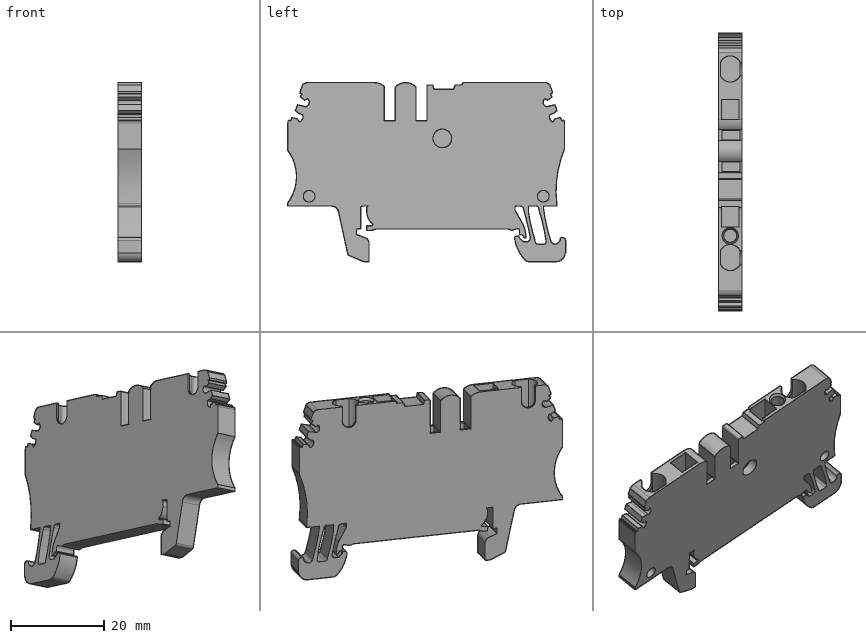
import cadquery as cq

THICKNESS = 5.1
HALF_LENGTH = 29.6
TOP_Z = 38.35
SHOULDER_Z = 11.9
SEAT_Z = 7.0
FOOT_END_Y = HALF_LENGTH - 59.5

SLOT_FLOOR_Z = 30.2
SLOT_WIDTH = 2.3
TONGUE_WIDTH = 4.45
TONGUE_Y = 4.4
TONGUE_RISE = 1.0
LEDGE_Z = 37.8
LEDGE_END_Y = -7.7
RECESS_Z = 36.95
SLOT_POCKET_WIDTH = 3.8
SLOT_POCKET_SHIFT = 0.2
SLOT_POCKET_DEPTH = 3.0
SLOT_POCKET_INSET = 0.1

FUNNEL_YS = (21.95, -18.4)
FUNNEL_LENGTH = 5.6
FUNNEL_WIDTH = 4.15
FUNNEL_SIDE_FLAT = 3.0
FUNNEL_END_FLAT = 0.4
FUNNEL_BULGE = (1.3, 2.4)
FUNNEL_DEPTH = 8.9
WINDOW_WIDTH = 3.1
WINDOW_CENTRE_DEPTH = 3.3
DRIVER_YS = (13.25, -9.65)
DRIVER_LENGTH = 4.35
DRIVER_WIDTH = 3.75
DRIVER_DEPTH = 8.9
TEST_HOLE_Y = -13.75
TEST_HOLE_DIAMETER = 2.8
TEST_HOLE_MOUTH = 3.45
TEST_HOLE_MOUTH_DEPTH = 0.6

SOCKET_DEPTH = 2.0
PEG_SOCKET_DIAMETER = 2.5
PEG_SOCKETS = ((25.05, 14.05), (-25.05, 14.05))
CENTRE_SOCKET_DIAMETER = 4.0
CENTRE_SOCKET = (-3.45, 26.4)


def plate(start, *steps):
    """Full-thickness plate from an outline of (y, z) points; a pair of points is an arc via the first."""
    path = cq.Workplane("YZ", origin=(-THICKNESS / 2, 0, 0)).moveTo(*start)
    for step in steps:
        if isinstance(step[0], tuple):
            path = path.threePointArc(*step)
        else:
            path = path.lineTo(*step)
    return path.close().extrude(THICKNESS)


def block(y_low, y_high, z_low, z_high, x_width=THICKNESS, x_centre=0.0):
    size = (x_width, y_high - y_low, z_high - z_low)
    centre = (x_centre, (y_low + y_high) / 2, (z_low + z_high) / 2)
    return cq.Workplane("XY").box(*size).translate(centre)


def marker_end_cut():
    """Waste outside the +Y upper corner: two marker grooves with a lip between them."""
    return plate(
        (HALF_LENGTH, TOP_Z),
        (25.5, TOP_Z),
        ((26.05, 38.2), (26.45, 37.8)),
        (27.0, 36.4),
        (26.95, 36.0),
        (26.6, 35.9),
        (26.95, 35.3),
        (26.0, 34.55),
        (25.4, 34.85),
        ((25.05, 34.1), (25.8, 33.2)),
        (26.4, 33.35),
        (27.55, 33.6),
        (28.0, 32.35),
        ((27.7, 32.1), (27.3, 31.75)),
        (26.45, 31.45),
        ((26.45, 30.6), (27.1, 29.9)),
        (27.6, 30.65),
        (28.7, 30.85),
        (29.0, 30.15),
        (29.4, 30.35),
        (29.55, 30.15),
        (HALF_LENGTH, 29.75),
    )


def grip_cuts():
    """Concave finger grip on the +Y end and the shallower one on the -Y end."""
    deep = plate((HALF_LENGTH, 23.85), ((27.8, 18.3), (HALF_LENGTH, 12.6)))
    shallow = plate(
        (-HALF_LENGTH, 24.15),
        ((-28.15, 19.05), (-27.95, 12.45)),
        (-28.0, SHOULDER_Z),
        (-HALF_LENGTH, SHOULDER_Z),
    )
    return deep.union(shallow)


def top_cuts():
    """Two slots beside the round-topped tongue, a rounded shoulder and the stepped ledge."""
    tongue_high = TONGUE_Y + TONGUE_WIDTH / 2
    tongue_low = TONGUE_Y - TONGUE_WIDTH / 2
    tongue_side_z = TOP_Z - TONGUE_RISE
    slot_high = tongue_high + SLOT_WIDTH
    slot_low = tongue_low - SLOT_WIDTH
    over_tongue = plate(
        (slot_high + 2.15, TOP_Z),
        ((slot_high + 0.85, 38.05), (slot_high, 37.55)),
        (slot_high, SLOT_FLOOR_Z),
        (tongue_high, SLOT_FLOOR_Z),
        (tongue_high, tongue_side_z),
        ((TONGUE_Y, TOP_Z), (tongue_low, tongue_side_z)),
        (tongue_low, SLOT_FLOOR_Z),
        (slot_low, SLOT_FLOOR_Z),
        (slot_low, LEDGE_Z - 0.2),
        ((slot_low - 0.05, LEDGE_Z - 0.05), (slot_low - 0.2, LEDGE_Z)),
        (-1.4, LEDGE_Z),
        (-1.65, RECESS_Z),
        (-5.8, RECESS_Z),
        (-6.2, LEDGE_Z),
        (LEDGE_END_Y, LEDGE_Z),
        (LEDGE_END_Y, 38.0),
        ((LEDGE_END_Y - 0.1, 38.25), (LEDGE_END_Y - 0.35, TOP_Z)),
        (LEDGE_END_Y - 0.35, TOP_Z + 0.6),
        (slot_high + 2.15, TOP_Z + 0.6),
    )
    pockets = cq.Workplane("XY")
    for low in (tongue_high, slot_low):
        pocket = block(
            low + SLOT_POCKET_INSET, low + SLOT_WIDTH - SLOT_POCKET_INSET, SLOT_FLOOR_Z - SLOT_POCKET_DEPTH,
            SLOT_FLOOR_Z, SLOT_POCKET_WIDTH, SLOT_POCKET_SHIFT,
        )
        pockets = pockets.add(pocket)
    return over_tongue.union(pockets.combine())


def wire_funnel(y):
    """Oblong funnel with flat sides and ends, and a round-bottomed window through the +X wall."""
    half_x, half_y = FUNNEL_WIDTH / 2, FUNNEL_LENGTH / 2
    end_x, side_y = FUNNEL_END_FLAT / 2, FUNNEL_SIDE_FLAT / 2
    bulge_x, bulge_y = FUNNEL_BULGE
    mouth = (
        cq.Workplane("XY", origin=(0, y, TOP_Z))
        .moveTo(half_x, side_y)
        .threePointArc((bulge_x, bulge_y), (end_x, half_y))
        .lineTo(-end_x, half_y)
        .threePointArc((-bulge_x, bulge_y), (-half_x, side_y))
        .lineTo(-half_x, -side_y)
        .threePointArc((-bulge_x, -bulge_y), (-end_x, -half_y))
        .lineTo(end_x, -half_y)
        .threePointArc((bulge_x, -bulge_y), (half_x, -side_y))
        .close()
        .extrude(-FUNNEL_DEPTH)
    )
    radius = WINDOW_WIDTH / 2
    arc_z = TOP_Z - WINDOW_CENTRE_DEPTH
    window = (
        cq.Workplane("YZ")
        .moveTo(y - radius, TOP_Z)
        .lineTo(y - radius, arc_z)
        .threePointArc((y, arc_z - radius), (y + radius, arc_z))
        .lineTo(y + radius, TOP_Z)
        .close()
        .extrude(THICKNESS / 2)
    )
    return mouth.union(window)


def driver_pocket(y):
    half = DRIVER_LENGTH / 2
    return block(y - half, y + half, TOP_Z - DRIVER_DEPTH, TOP_Z, DRIVER_WIDTH)


def test_hole():
    """Round hole with a conical mouth."""
    radius, mouth_radius = TEST_HOLE_DIAMETER / 2, TEST_HOLE_MOUTH / 2
    return (
        cq.Workplane("XZ", origin=(0, TEST_HOLE_Y, 0))
        .moveTo(0, TOP_Z)
        .lineTo(mouth_radius, TOP_Z)
        .lineTo(radius, TOP_Z - TEST_HOLE_MOUTH_DEPTH)
        .lineTo(radius, TOP_Z - DRIVER_DEPTH)
        .lineTo(0, TOP_Z - DRIVER_DEPTH)
        .close()
        .revolve(360, (0, 0), (0, 1))
    )


def sockets(diameter, centres):
    face = cq.Workplane("YZ", origin=(-THICKNESS / 2, 0, 0))
    return face.pushPoints(centres).circle(diameter / 2).extrude(SOCKET_DEPTH)


def rail_seat():
    """Lower middle of the body, with a lip at the +Y end and a thin hook at the -Y end."""
    return plate(
        (12.5, SHOULDER_Z),
        ((12.65, 11.8), (12.7, 11.6)),
        (12.7, 10.45),
        ((12.4, 9.2), (11.55, 8.2)),
        (11.4, 8.0),
        (11.6, 7.75),
        (12.7, 7.75),
        (12.7, 6.65),
        (11.8, 6.65),
        (10.7, SEAT_Z),
        (-17.35, SEAT_Z),
        (-18.4, 6.7),
        (-19.55, 7.1),
        ((-19.8, 7.0), (-19.9, 6.8)),
        (-19.9, 5.9),
        (-20.65, 5.65),
        (-21.0, 5.1),
        (-21.35, 5.1),
        ((-21.2, 6.7), (-20.75, 8.0)),
        (-19.05, 11.0),
        (-19.05, 11.6),
        ((-19.1, 11.85), (-19.35, SHOULDER_Z)),
    )


def fixed_foot():
    """Rigid hooked foot below the +Y half."""
    return plate(
        (20.35, SHOULDER_Z),
        ((19.3, 11.55), (18.75, 10.5)),
        (16.85, 1.8),
        ((16.7, 1.5), (16.5, 1.3)),
        (13.3, 0),
        (12.45, 0),
        ((12.25, 0.05), (12.2, 0.25)),
        (12.2, 4.05),
        ((12.5, 4.75), (13.2, 5.25)),
        (14.85, 5.8),
        (14.85, 6.8),
        ((14.8, 6.95), (14.6, SEAT_Z)),
        (14.0, 7.1),
        (14.0, 11.6),
        ((13.85, 11.85), (13.6, SHOULDER_Z)),
    )


def spring_foot():
    """Foot hung on two curved struts below the -Y half."""
    foot = plate(
        (-20.15, SHOULDER_Z),
        ((-20.6, 11.7), (-20.8, 11.25)),
        ((-21.7, 7.8), (-22.25, 5.25)),
        ((-22.1, 4.65), (-21.7, 4.35)),
        (-20.75, 4.35),
        (-19.9, 5.2),
        (-19.8, 5.6),
        (-19.05, 5.4),
        (-18.85, 5.2),
        ((-19.7, 2.45), (-21.2, 0.35)),
        ((-21.55, 0.1), (-22.0, 0)),
        (-27.85, 0),
        ((-29.25, 0.7), (-29.75, 1.85)),
        (FOOT_END_Y, 1.85),
        (FOOT_END_Y, 4.6),
        ((-29.6, 5.05), (-29.15, 5.25)),
        ((-28.85, 5.2), (-28.65, 4.95)),
        ((-28.2, 4.05), (-27.55, 3.8)),
        ((-27.0, 4.0), (-26.65, 4.5)),
        (-26.4, 5.3),
        ((-25.5, 9.0), (-25.1, 11.6)),
        ((-25.15, 11.85), (-25.4, SHOULDER_Z)),
    )
    gap = plate(
        (-22.2, SHOULDER_Z),
        ((-21.95, 11.85), (-21.9, 11.6)),
        (-21.9, 10.65),
        ((-22.4, 7.8), (-23.3, 4.45)),
        ((-23.5, 4.0), (-23.85, 3.8)),
        (-25.2, 3.8),
        ((-25.5, 4.0), (-25.65, 4.35)),
        ((-25.1, 7.4), (-24.05, 11.35)),
        ((-23.9, 11.7), (-23.7, SHOULDER_Z)),
    )
    return foot.cut(gap)


corner_cut = marker_end_cut()
body = block(-HALF_LENGTH, HALF_LENGTH, SHOULDER_Z, TOP_Z)
body = body.cut(corner_cut).cut(corner_cut.mirror("XZ")).cut(grip_cuts()).cut(top_cuts())
for funnel_y in FUNNEL_YS:
    body = body.cut(wire_funnel(funnel_y))
for driver_y in DRIVER_YS:
    body = body.cut(driver_pocket(driver_y))
body = body.cut(test_hole())
body = body.cut(sockets(PEG_SOCKET_DIAMETER, PEG_SOCKETS))
body = body.cut(sockets(CENTRE_SOCKET_DIAMETER, [CENTRE_SOCKET]))

result = body.union(rail_seat()).union(fixed_foot()).union(spring_foot())